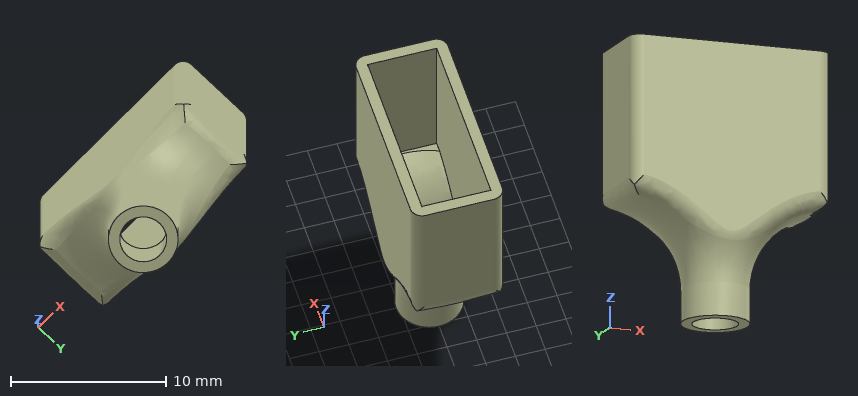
import cadquery as cq
import math

length = 13.7
width = 6.2
height = 18.0
wall = 0.77
neck_wall = 0.74
corner_radius = 0.8
rim_radius = 1.17

bore_diameter = 3.0
bore_radius = bore_diameter / 2
neck_radius = bore_radius + neck_wall
neck_height = 2.21
flare_radius = 5.4
inner_flare_radius = flare_radius + neck_wall
floor_opening_radius = 5.9


def arc_height(start_radius, arc_radius, radius):
    """Height at which the flare, vertical at the neck top, reaches a radius."""
    inset = start_radius + arc_radius - radius
    return neck_height + math.sqrt(arc_radius**2 - inset**2)


def flared_solid(start_radius, arc_radius, end_radius):
    """Revolved straight neck and concave flare, carried straight up to the top."""
    end_height = arc_height(start_radius, arc_radius, end_radius)
    middle_radius = (start_radius + end_radius) / 2
    middle_height = arc_height(start_radius, arc_radius, middle_radius)
    return (
        cq.Workplane("XZ")
        .lineTo(start_radius, 0)
        .lineTo(start_radius, neck_height)
        .threePointArc((middle_radius, middle_height), (end_radius, end_height))
        .lineTo(end_radius, height)
        .lineTo(0, height)
        .close()
        .revolve(360, (0, 0, 0), (0, 1, 0))
    )


def outer_body():
    """Rounded rectangular socket ending in the flare and neck."""
    block = cq.Workplane("XY").box(length, width, height, centered=(True, True, False))
    flare_end_radius = neck_radius + flare_radius
    body = block.intersect(flared_solid(neck_radius, flare_radius, flare_end_radius))
    side_walls = body.faces("<X or >X or <Y or >Y")
    rim = side_walls.edges("not(|X or |Y or |Z)")
    rounded_block = block.edges("|Z").fillet(corner_radius)
    return rim.fillet(rim_radius).intersect(rounded_block)


def cavity():
    """Sharp-cornered socket pocket with a flat floor, funnel and round bore."""
    floor_height = arc_height(bore_radius, inner_flare_radius, floor_opening_radius)
    inner_box = cq.Workplane("XY").box(
        length - 2 * wall, width - 2 * wall, height, centered=(True, True, False)
    )
    pocket = inner_box.translate((0, 0, floor_height))
    funnel = flared_solid(bore_radius, inner_flare_radius, floor_opening_radius)
    return pocket.union(funnel.intersect(inner_box))


result = outer_body().cut(cavity())